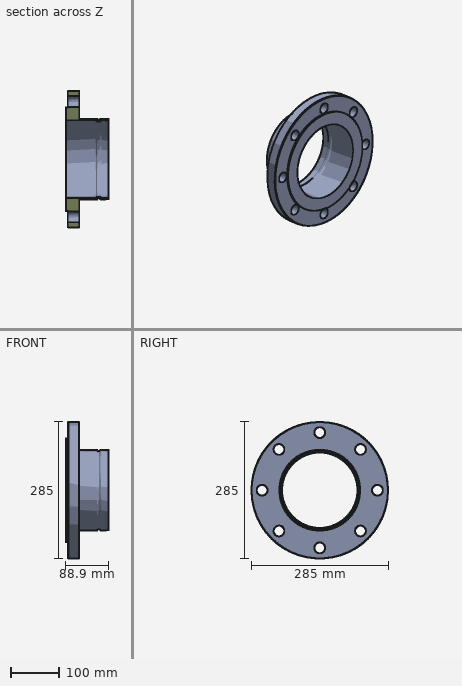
import cadquery as cq
import math

total_length = 88.9
raised_face_height = 3.5
flange_back = 28.0

flange_diameter = 285.0
raised_face_diameter = 215.9
flange_front_chamfer_length = 2.0
flange_chamfer_height = 1.0

bolt_hole_count = 8
bolt_hole_diameter = 22.0
bolt_circle_diameter = 240.0

pipe_outer_diameter = 168.28
pipe_inner_diameter = 161.47
groove_outer_diameter = 163.27
groove_depth = (pipe_outer_diameter - groove_outer_diameter) / 2

groove_start = 65.0
groove_end = 74.0
shoulder_radius = 0.6
floor_entry_radius = groove_depth - shoulder_radius
floor_exit_radius = 0.6
lip_bend_radius = 4.0

lip_crown_rise = 0.2
lip_end_drop = 0.4

bead_start = 61.6
bead_end = 74.5
bead_bend_radius = 2.0
bead_slope_degrees = 45.0



def make_flange():
    """Solid flange disc with chamfered rims, including the raised sealing face."""
    rim_radius = flange_diameter / 2
    face_radius = raised_face_diameter / 2
    chamfer_radius = rim_radius - flange_chamfer_height
    outline = [
        (0, 0),
        (0, face_radius),
        (raised_face_height, face_radius),
        (raised_face_height, chamfer_radius),
        (raised_face_height + flange_front_chamfer_length, rim_radius),
        (flange_back - flange_chamfer_height, rim_radius),
        (flange_back, chamfer_radius),
        (flange_back, 0),
    ]
    return cq.Workplane("XZ").polyline(outline).close().revolve(360, (0, 0, 0), (1, 0, 0))


def arc_point(center, radius, degrees):
    """Point on a circle at an angle counted from the +X direction."""
    angle = math.radians(degrees)
    return (center[0] + radius * math.cos(angle), center[1] + radius * math.sin(angle))


def make_pipe_body():
    """Solid pipe bounded by its outer surface, with the groove and the lip."""
    outer_radius = pipe_outer_diameter / 2
    floor = outer_radius - groove_depth
    crown = outer_radius + lip_crown_rise

    shoulder_center = (groove_start, outer_radius - shoulder_radius)
    entry_center = (groove_start + shoulder_radius + floor_entry_radius, floor + floor_entry_radius)

    lip_center = (groove_end, crown - lip_bend_radius)
    rise = floor + floor_exit_radius - lip_center[1]
    run = math.sqrt((lip_bend_radius + floor_exit_radius) ** 2 - rise**2)
    exit_center = (groove_end - run, floor + floor_exit_radius)
    lip_start_angle = 180 - math.degrees(math.atan2(rise, run))
    lip_middle_angle = (lip_start_angle + 90) / 2
    exit_end_angle = lip_start_angle - 180
    exit_middle_angle = (exit_end_angle - 90) / 2

    profile = (
        cq.Workplane("XZ")
        .lineTo(0, outer_radius)
        .lineTo(groove_start, outer_radius)
        .threePointArc(
            arc_point(shoulder_center, shoulder_radius, 45),
            arc_point(shoulder_center, shoulder_radius, 0),
        )
        .threePointArc(arc_point(entry_center, floor_entry_radius, 225), (entry_center[0], floor))
        .lineTo(exit_center[0], floor)
        .threePointArc(
            arc_point(exit_center, floor_exit_radius, exit_middle_angle),
            arc_point(exit_center, floor_exit_radius, exit_end_angle),
        )
        .threePointArc(arc_point(lip_center, lip_bend_radius, lip_middle_angle), (groove_end, crown))
        .lineTo(total_length, outer_radius - lip_end_drop)
        .lineTo(total_length, 0)
        .close()
    )
    return profile.revolve(360, (0, 0, 0), (1, 0, 0))


def make_bore():
    """Bore core, necked down where the bead stands inward."""
    bore_radius = pipe_inner_diameter / 2
    bead_radius = bore_radius - groove_depth

    slope = math.radians(bead_slope_degrees)
    bend_run = bead_bend_radius * math.sin(slope)
    bend_rise = bead_bend_radius * (1 - math.cos(slope))
    half_bend_run = bead_bend_radius * math.sin(slope / 2)
    half_bend_rise = bead_bend_radius * (1 - math.cos(slope / 2))
    cone_run = (groove_depth - 2 * bend_rise) / math.tan(slope)
    flank_run = 2 * bend_run + cone_run

    foot_middle = (half_bend_run, half_bend_rise)
    cone_start = (bend_run, bend_rise)
    cone_end = (bend_run + cone_run, groove_depth - bend_rise)
    crest_middle = (flank_run - half_bend_run, groove_depth - half_bend_rise)

    def on_front(offset):
        return (bead_start + offset[0], bore_radius - offset[1])

    def on_back(offset):
        return (bead_end - offset[0], bore_radius - offset[1])

    profile = (
        cq.Workplane("XZ")
        .lineTo(0, bore_radius)
        .lineTo(bead_start, bore_radius)
        .threePointArc(on_front(foot_middle), on_front(cone_start))
        .lineTo(*on_front(cone_end))
        .threePointArc(on_front(crest_middle), (bead_start + flank_run, bead_radius))
        .lineTo(bead_end - flank_run, bead_radius)
        .threePointArc(on_back(crest_middle), on_back(cone_end))
        .lineTo(*on_back(cone_start))
        .threePointArc(on_back(foot_middle), (bead_end, bore_radius))
        .lineTo(total_length, bore_radius - lip_end_drop)
        .lineTo(total_length, 0)
        .close()
    )
    return profile.revolve(360, (0, 0, 0), (1, 0, 0))


def make_bolt_holes():
    """Cylinders for the holes on the bolt circle."""
    return (
        cq.Workplane("YZ")
        .polarArray(bolt_circle_diameter / 2, 0, 360, bolt_hole_count)
        .circle(bolt_hole_diameter / 2)
        .extrude(flange_back)
    )


result = make_flange().union(make_pipe_body()).cut(make_bore()).cut(make_bolt_holes())